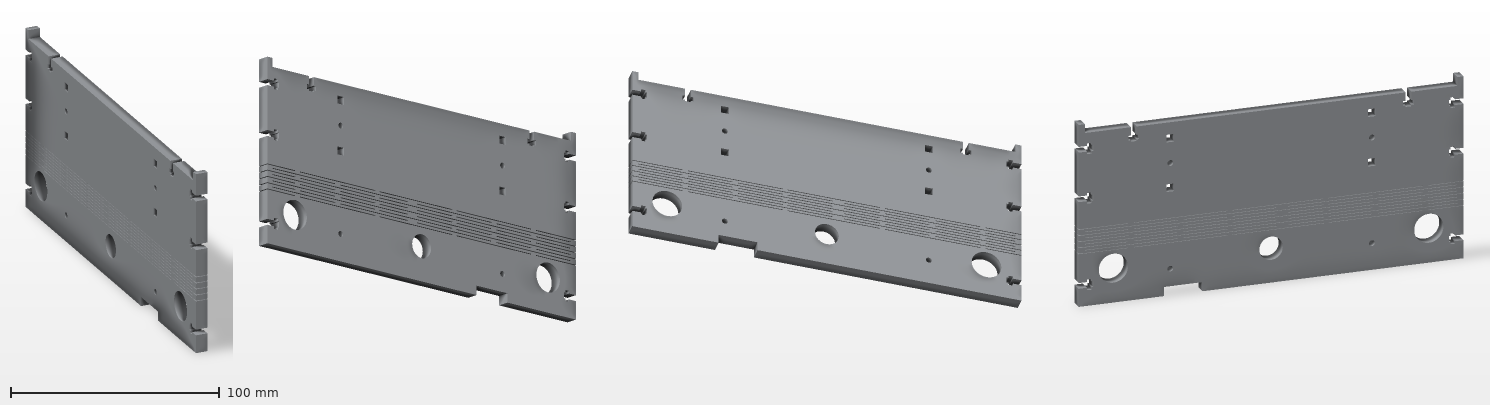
import cadquery as cq

length = 195.8
thickness = 6.0
height = 93.5
half_length = length / 2

tab_width = 3.1
tab_height = 4.5
top_edge = height - tab_height

slot_width = 3.0
slot_depth = 7.5
nut_width = 5.5
nut_thickness = 2.4
nut_depth = 4.3
top_slot_x = 70.0
upper_slot_z = 80.7
middle_slot_z = 55.2
lower_slot_z = 10.8

hole_column_x = 51.3
square_hole_size = 4.0
screw_hole_diameter = 3.0
lower_screw_hole_z = 13.7
upper_screw_hole_z = (upper_slot_z + middle_slot_z) / 2

large_hole_z = 17.6
outer_hole_diameter = 14.9
outer_hole_x = 80.3
centre_hole_diameter = 12.0

notch_left = 34.9
notch_width = 19.5
notch_depth = 4.7

slit_rows = 9
slit_pitch = 1.5
slit_height = 0.4
slit_band_z = 33.5
slit_inset = 3.1
open_row_bridges = [(-78.5, 2.7), (-28.0, 2.4), (21.0, 2.4), (71.3, 2.7)]
inset_row_bridges = [(-53.0, 3.0), (-5.7, 5.7), (46.0, 2.7)]


def block(x_min, x_max, z_min, z_max):
    """Block through the whole thickness, spanning the given X and Z ranges."""
    width = x_max - x_min
    rise = z_max - z_min
    return cq.Workplane("XY").box(width, thickness, rise, centered=False).translate((x_min, 0, z_min))


def centred_block(x, z, width, rise):
    return block(x - width / 2, x + width / 2, z - rise / 2, z + rise / 2)


def round_hole(x, z, diameter):
    return cq.Workplane("XZ", origin=(x, 0, z)).circle(diameter / 2).extrude(-thickness)


def nut_slot():
    """Slot with its mouth at the origin, running toward -Z, with the nut pocket across it."""
    shank = block(-slot_width / 2, slot_width / 2, -slot_depth, 0)
    pocket = block(-nut_width / 2, nut_width / 2, -nut_depth - nut_thickness, -nut_depth)
    return shank.union(pocket)


def slit_row(z, x_end, bridges):
    """Thin slits from -x_end to x_end at height z, interrupted by the bridges."""
    starts = [-x_end] + [x + width / 2 for x, width in bridges]
    ends = [x - width / 2 for x, width in bridges] + [x_end]
    z_min = z - slit_height / 2
    return [block(start, end, z_min, z_min + slit_height) for start, end in zip(starts, ends)]


cutters = []

cutters.append(block(tab_width - half_length, half_length - tab_width, top_edge, height))
cutters.append(block(notch_left, notch_left + notch_width, 0, notch_depth))

for side in (-1, 1):
    cutters.append(nut_slot().translate((side * top_slot_x, 0, top_edge)))
    for slot_z in (upper_slot_z, middle_slot_z, lower_slot_z):
        side_slot = nut_slot().rotate((0, 0, 0), (0, 1, 0), side * 90)
        cutters.append(side_slot.translate((side * half_length, 0, slot_z)))

    hole_x = side * hole_column_x
    for square_z in (upper_slot_z, middle_slot_z):
        cutters.append(centred_block(hole_x, square_z, square_hole_size, square_hole_size))
    for screw_z in (upper_screw_hole_z, lower_screw_hole_z):
        cutters.append(round_hole(hole_x, screw_z, screw_hole_diameter))
    cutters.append(round_hole(side * outer_hole_x, large_hole_z, outer_hole_diameter))

cutters.append(round_hole(0, large_hole_z, centre_hole_diameter))

for row in range(slit_rows):
    row_z = slit_band_z + (row - (slit_rows - 1) / 2) * slit_pitch
    if row % 2 == 0:
        cutters += slit_row(row_z, half_length, open_row_bridges)
    else:
        cutters += slit_row(row_z, half_length - slit_inset, inset_row_bridges)

plate = block(-half_length, half_length, 0, height)
result = cq.Workplane("XY").newObject([plate.val().cut(*[cutter.val() for cutter in cutters])])